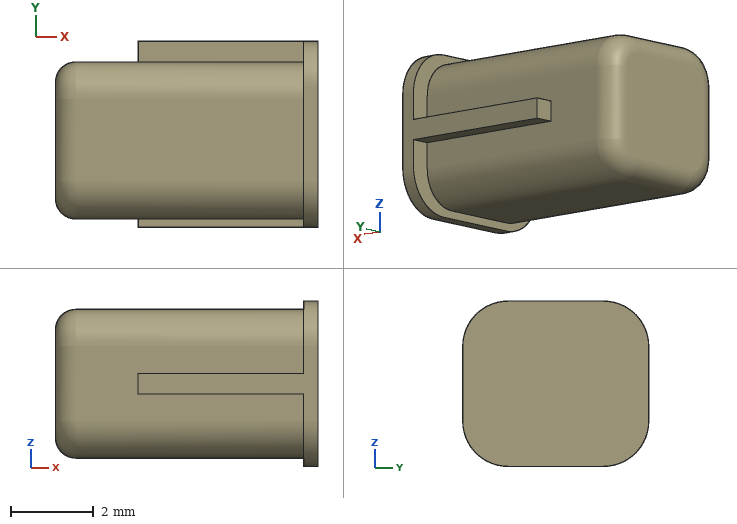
import cadquery as cq

body_length = 6.0
body_width = 3.8
body_height = 3.6
body_corner_radius = 0.9
nose_fillet_radius = 0.5

flange_thickness = 0.35
flange_overhang_back = 0.5
flange_overhang_front = 0.2
flange_overhang_z = 0.2
flange_corner_radius = 1.1

rib_length = 4.0
rib_height = 0.5

flange_width = body_width + flange_overhang_back + flange_overhang_front
flange_height = body_height + 2 * flange_overhang_z
flange_center_y = (flange_overhang_back - flange_overhang_front) / 2


def rounded_bar(start_x, length, center_y, width, height, corner_radius):
    """Bar along X with a rounded rectangular section."""
    return (
        cq.Workplane("YZ", origin=(start_x, center_y, 0))
        .rect(width, height)
        .extrude(length)
        .edges("|X")
        .fillet(corner_radius)
    )


def make_body():
    body = rounded_bar(0, body_length, 0, body_width, body_height, body_corner_radius)
    return body.faces("<X").edges().fillet(nose_fillet_radius)


def make_flange():
    return rounded_bar(
        body_length, flange_thickness, flange_center_y,
        flange_width, flange_height, flange_corner_radius,
    )


def make_ribs():
    """One bar through the body that leaves a rib standing on each Y side."""
    return (
        cq.Workplane("YZ", origin=(body_length - rib_length, flange_center_y, 0))
        .rect(flange_width, rib_height)
        .extrude(rib_length)
    )


result = make_body().union(make_flange()).union(make_ribs())